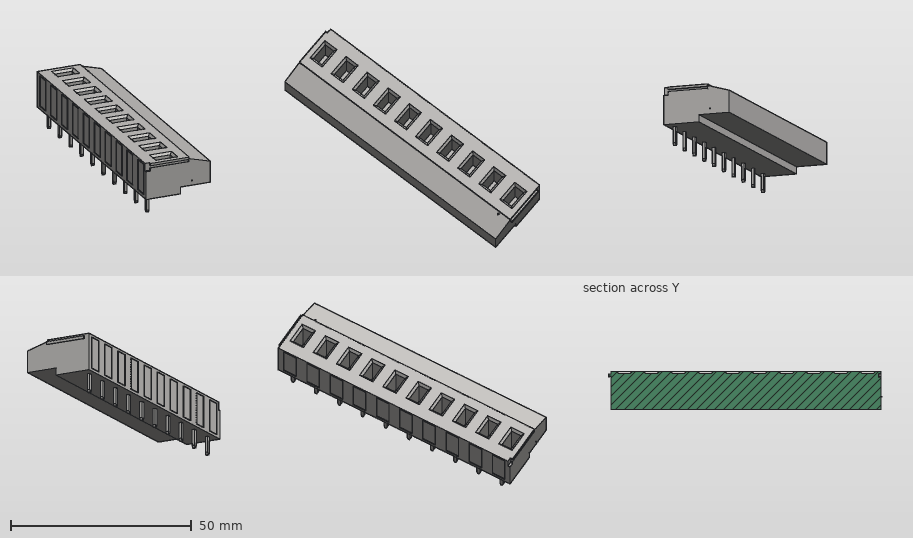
import cadquery as cq

pole_count = 10
total_length = 75.6
depth = 19.5
height = 10.6
rib_reach = 0.6
nib_reach = 0.15
length = total_length - rib_reach - nib_reach
pitch = length / pole_count

front_strip = 1.35
foot_depth = 10.5
rear_underside = 2.05
rear_top = 8.3
top_depth = 13.1
slope_top = 10.1

opening_width = 4.3
opening_depth = 6.6
opening_front = 3.7
funnel_inset = 0.7
funnel_height = 0.7
well_floor = 2.3

panel_width = 4.0
panel_bottom = 0.9
panel_top = 9.9
panel_recess = 0.2

pin_width = 1.0
pin_thickness = 0.75
pin_front = 1.6
pin_length = 5.3
pin_embed = 0.75
pin_tip_width = 0.45
pin_tip_length = 0.7

rib_top = 9.9
rib_root_bottom = 9.3
hook_slope = 0.5
groove_depth = 0.7
notch_floor = 8.3

nib_diameter = 0.2
nib_y = 13.8
nib_z = 3.55

mark_size = 0.5
mark_front = 13.5
mark_recess = 0.1

pole_centres = [(pole + 0.5) * pitch for pole in range(pole_count)]


def box(x, y, z, size_x, size_y, size_z):
    """Box whose lowest corner is at (x, y, z)."""
    return cq.Workplane("XY").box(size_x, size_y, size_z, centered=False).translate((x, y, z))


def housing():
    profile = [
        (0, 0),
        (foot_depth, 0),
        (foot_depth, rear_underside),
        (depth, rear_underside),
        (depth, rear_top),
        (top_depth, slope_top),
        (top_depth, height),
        (0, height),
    ]
    return cq.Workplane("YZ").polyline(profile).close().extrude(length)


def screw_opening(x):
    """Funnel narrowing into a straight well."""
    y = opening_front + opening_depth / 2
    well_width = opening_width - 2 * funnel_inset
    well_depth = opening_depth - 2 * funnel_inset
    funnel_bottom = height - funnel_height
    funnel = (
        cq.Workplane("XY", origin=(x, y, funnel_bottom))
        .rect(well_width, well_depth)
        .workplane(offset=funnel_height)
        .rect(opening_width, opening_depth)
        .loft(ruled=True)
    )
    well = box(
        x - well_width / 2, y - well_depth / 2, well_floor,
        well_width, well_depth, funnel_bottom - well_floor,
    )
    return funnel.union(well)


def front_panel(x):
    return box(x - panel_width / 2, 0, panel_bottom, panel_width, panel_recess, panel_top - panel_bottom)


def pin(x):
    """Flat pin with a tapered tip, its root buried in the housing."""
    half = pin_width / 2
    half_tip = pin_tip_width / 2
    outline = [
        (x - half, pin_embed),
        (x - half, pin_tip_length - pin_length),
        (x - half_tip, -pin_length),
        (x + half_tip, -pin_length),
        (x + half, pin_tip_length - pin_length),
        (x + half, pin_embed),
    ]
    return (
        cq.Workplane("XZ", origin=(0, pin_front, 0))
        .polyline(outline)
        .close()
        .extrude(-pin_thickness)
    )


def hooked_bar(end_x, reach):
    """Bar reaching from an end face towards -X, with its underside dropping to a lip."""
    lip_bottom = rib_root_bottom - hook_slope * reach
    outline = [
        (end_x, rib_top),
        (end_x - reach, rib_top),
        (end_x - reach, lip_bottom),
        (end_x, rib_root_bottom),
    ]
    return (
        cq.Workplane("XZ", origin=(0, front_strip, 0))
        .polyline(outline)
        .close()
        .extrude(front_strip - top_depth)
    )


def corner_notch():
    return box(length - groove_depth, 0, notch_floor, groove_depth, front_strip, height - notch_floor)


def nib():
    return (
        cq.Workplane("YZ", origin=(length, nib_y, nib_z))
        .circle(nib_diameter / 2)
        .extrude(nib_reach)
    )


def first_pole_mark(x):
    """Triangular prism reaching just below the slope, pointing backwards."""
    mark_back = mark_front + mark_size
    slope_fall = (slope_top - rear_top) / (depth - top_depth)
    mark_floor = slope_top - slope_fall * (mark_back - top_depth) - mark_recess
    outline = [
        (x - mark_size / 2, mark_front),
        (x + mark_size / 2, mark_front),
        (x, mark_back),
    ]
    return (
        cq.Workplane("XY", origin=(0, 0, mark_floor))
        .polyline(outline)
        .close()
        .extrude(height - mark_floor)
    )


result = housing()
for centre in pole_centres:
    result = result.cut(screw_opening(centre)).cut(front_panel(centre)).union(pin(centre))
result = result.union(hooked_bar(0, rib_reach))
result = result.cut(hooked_bar(length, groove_depth)).cut(corner_notch())
result = result.cut(first_pole_mark(pole_centres[0]))
result = result.union(nib())